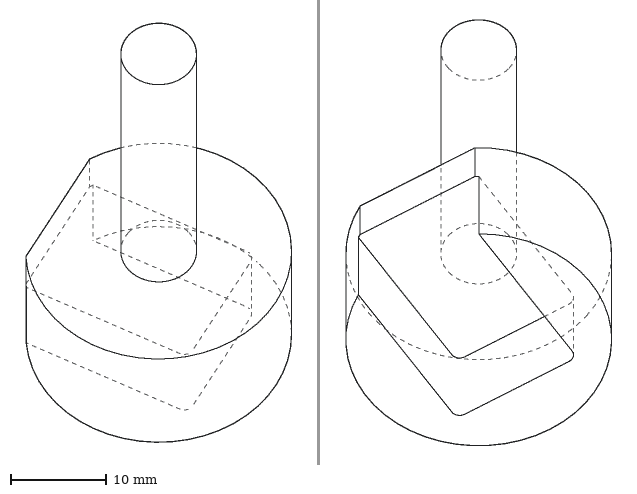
import cadquery as cq

total_height = 50.5
head_diameter = 28.0
head_height = 15.0
stem_diameter = 8.0
flat_offset = 12.0
pocket_width = 15.0
pocket_height = 10.0
pocket_corner_radius = 1
pocket_end_x = pocket_width / 2


def make_head():
    """Round head standing on Z = 0, cut flat on its -X side."""
    head = cq.Workplane("XY").circle(head_diameter / 2).extrude(head_height)
    beyond_flat = (
        cq.Workplane("XY")
        .box(head_diameter, head_diameter, head_height, centered=(False, True, False))
        .translate((-flat_offset - head_diameter, 0, 0))
    )
    return head.cut(beyond_flat)


def make_stem():
    """Cylindrical stem rising from the top of the head."""
    return (
        cq.Workplane("XY")
        .workplane(offset=head_height)
        .circle(stem_diameter / 2)
        .extrude(total_height - head_height)
    )


def make_pocket():
    """Pocket open at the bottom and at the flat, with rounded inner corners."""
    pocket_length = pocket_end_x + head_diameter / 2
    return (
        cq.Workplane("XY")
        .box(pocket_length, pocket_width, pocket_height, centered=(False, True, False))
        .translate((-head_diameter / 2, 0, 0))
        .edges("|Z and >X")
        .fillet(pocket_corner_radius)
    )


result = make_head().union(make_stem()).cut(make_pocket())